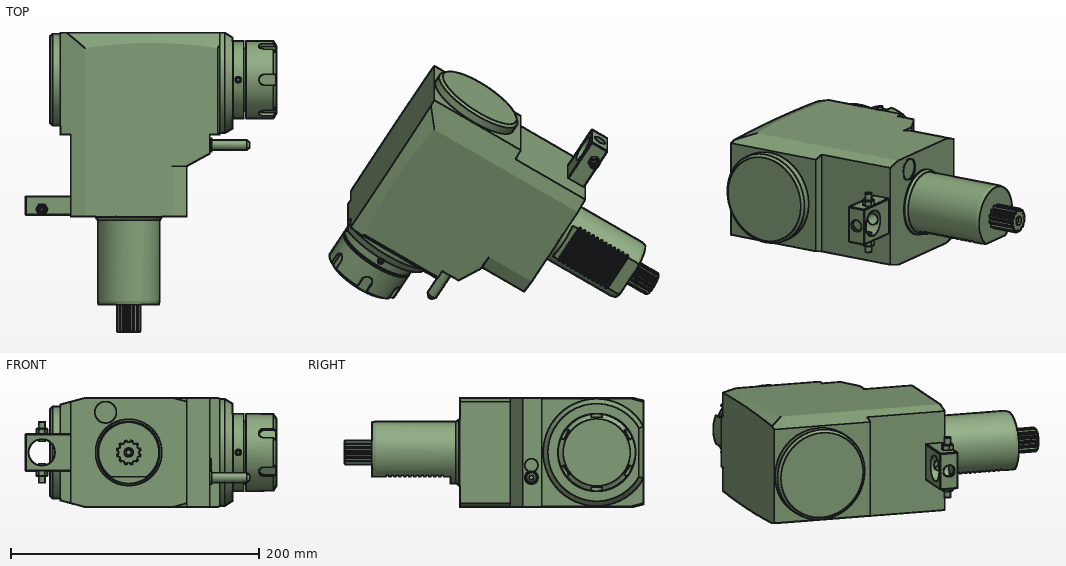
import cadquery as cq
import math

TILT = math.tan(math.radians(15))

HOUSING_HEIGHT = 88.0
HALF_HEIGHT = HOUSING_HEIGHT / 2
HOUSING_BACK = 148.0
HEAD_FRONT = 66.0
HEAD_LEFT = -55.0
HEAD_RIGHT = 73.3
STEM_HALF_WIDTH = 46.8
FACET_START = 35.2
STEM_TOP = 40.5
SHOULDER_X = 65.3
SHOULDER_Y = 50.5
EDGE_BEVEL_LENGTH = 1.7
EDGE_BEVEL_DROP = 0.6
CROWN_X = 18.0
CROWN_Y = 139.8
CROWN_RADIUS = 344.6

SPINDLE_Y = 110.1
FLANGE_RADIUS = 43.1
FLANGE_STRAIGHT_END = 77.4
FLANGE_END = 83.6
FLANGE_BEVEL = 3.9
NUT_RADIUS = 31.3
COLLAR_END = 92.8
GROOVE_RADIUS = 25.5
NUT_START = 94.2
NUT_BEVEL_START = 116.5
NUT_END = 119.0
NUT_BEVEL = 4.3
NUT_EDGE_BREAK = 0.5
NUT_SLOTS = 6
NUT_SLOT_WIDTH = 8.7
NUT_SLOT_DEPTH = 3.1
NUT_SLOT_START = 104.8
SCREW_HOLES = 4
SCREW_HOLE_RADIUS = 2.5
SCREW_HOLE_DEPTH = 1.0
SCREW_SOCKET_RADIUS = 1.5
SCREW_SOCKET_DEPTH = 2.5

COVER_RADIUS = 37.0
COVER_LEFT = -63.5
COVER_BEVEL = 2.2

SHANK_RADIUS = 25.0
SHANK_END = -70.9
SHANK_BEVEL_LENGTH = 3.0
SHANK_BEVEL = 0.7
SEAT_RADIUS = 26.8
SEAT_RIM = 0.7
SEAT_NECK_RADIUS = 25.5
SEAT_NECK = 2.2
SEAT_LENGTH = 3.1
FLAT_Z = -19.8
FLAT_START = -7.7
RACK_GROOVES = 12
RACK_LENGTH = 44.0
RACK_PITCH = RACK_LENGTH / (RACK_GROOVES - 1)
RACK_FIRST_Y = -14.2
RACK_GROOVE_WIDTH = 3.1
RACK_ROOT_WIDTH = 1.2
RACK_DEPTH = 1.2

OVERALL_LENGTH = 241.0
SPLINE_END = HOUSING_BACK - OVERALL_LENGTH
SPLINE_TEETH = 12
SPLINE_TIP_RADIUS = 10.0
SPLINE_ROOT_RADIUS = 8.2
SPLINE_END_BEVEL = 1.0
CENTRE_MOUTH_RADIUS = 3.5
CENTRE_RADIUS = 2.2
CENTRE_CONE_DEPTH = 1.5
CENTRE_DEPTH = 6.0

RECESS_X = -18.5
RECESS_Z = 32.3
RECESS_RADIUS = 8.7
RECESS_DEPTH = 1.0

BRACKET_LEFT = -83.1
BRACKET_FRONT = 1.2
BRACKET_BACK = 16.5
BRACKET_HALF_HEIGHT = 15.0
BRACKET_BEVEL = 0.6
BRACKET_BORE_X = -70.0
BRACKET_BORE_RADIUS = 10.5
CROSS_HOLE_Y = 8.7
CROSS_HOLE_RADIUS = 4.8
PILOT_RADIUS = 0.7
PILOT_DEPTH = 1.2
STUD_Y = 5.8
STUD_RADIUS = 2.7
STUD_INNER_Z = 9.0
STUD_OUTER_Z = 24.5
STUD_SOCKET_CORNERS = 3.0
STUD_SOCKET_DEPTH = 2.0
STUD_NUT_CORNERS = 9.5
STUD_NUT_TOP = 19.3
STUD_NUT_BEVEL = 1.0

PIN_Y = 57.5
PIN_Z = -20.2
PIN_RADIUS = 4.0
PIN_END = 97.5
PIN_BEVEL_LENGTH = 2.7
PIN_BEVEL = 2.2
PAD_RADIUS = 5.3
PAD_THICKNESS = 1.5
PAD_SPACING = 10.0
UPPER_PAD_THICKNESS = 1.0

OVERLAP = 2.5


def turned_x(points, y, z=0.0):
    """Solid of revolution about an X-parallel axis from (x, radius) points."""
    outline = [(points[0][0], 0), *points, (points[-1][0], 0)]
    profile = cq.Workplane("XY").polyline(outline).close()
    return profile.revolve(360, (0, 0, 0), (1, 0, 0)).translate((0, y, z))


def turned_y(points):
    """Solid of revolution about the shank axis from (radius, y) points."""
    outline = [(0, points[0][1]), *points, (0, points[-1][1])]
    return cq.Workplane("XY").polyline(outline).close().revolve(360, (0, 0, 0), (0, 1, 0))


def cylinder(radius, start, direction, length):
    return cq.Workplane(cq.Solid.makeCylinder(radius, length, cq.Vector(*start), cq.Vector(*direction)))


def block(x_range, y_range, z_range):
    corners = (x_range, y_range, z_range)
    sizes = [high - low for low, high in corners]
    lows = tuple(low for low, high in corners)
    return cq.Workplane("XY").box(*sizes, centered=False).translate(lows)


def housing():
    plan = [
        (-STEM_HALF_WIDTH, 0),
        (STEM_HALF_WIDTH, 0),
        (STEM_HALF_WIDTH, STEM_TOP),
        (SHOULDER_X, SHOULDER_Y),
        (SHOULDER_X, HEAD_FRONT),
        (HEAD_RIGHT, HEAD_FRONT),
        (HEAD_RIGHT, HOUSING_BACK),
        (HEAD_LEFT, HOUSING_BACK),
        (HEAD_LEFT, HEAD_FRONT),
        (-STEM_HALF_WIDTH, HEAD_FRONT),
    ]
    body = cq.Workplane("XY").polyline(plan).close().extrude(HALF_HEIGHT, both=True)

    left_z = HALF_HEIGHT - TILT * (-FACET_START - HEAD_LEFT)
    bevel_z = HALF_HEIGHT - EDGE_BEVEL_DROP
    upper = [
        (HEAD_LEFT, left_z),
        (-FACET_START, HALF_HEIGHT),
        (HEAD_RIGHT - EDGE_BEVEL_LENGTH, HALF_HEIGHT),
        (HEAD_RIGHT, bevel_z),
    ]
    lower = [(x, -z) for x, z in reversed(upper)]
    section = cq.Workplane("XZ").polyline(upper + lower).close().extrude(-HOUSING_BACK)
    body = body.intersect(section)

    waist_radius = CROWN_RADIUS + HALF_HEIGHT / TILT
    cone_outline = [
        (0, -HALF_HEIGHT),
        (CROWN_RADIUS, -HALF_HEIGHT),
        (waist_radius, 0),
        (CROWN_RADIUS, HALF_HEIGHT),
        (0, HALF_HEIGHT),
    ]
    crown = cq.Workplane("XZ").polyline(cone_outline).close().revolve(360, (0, 0, 0), (0, 1, 0))
    body = body.intersect(crown.translate((CROWN_X, CROWN_Y - CROWN_RADIUS, 0)))

    reach = STEM_HALF_WIDTH + OVERLAP
    drop = TILT * (reach - FACET_START)
    for side in (1, -1):
        wedge = [
            (FACET_START, side * HALF_HEIGHT),
            (reach, side * HALF_HEIGHT),
            (reach, side * (HALF_HEIGHT - drop)),
        ]
        body = body.cut(cq.Workplane("XZ").polyline(wedge).close().extrude(-STEM_TOP))

    pilot_start = (-STEM_HALF_WIDTH, CROSS_HOLE_Y, 0)
    body = body.cut(cylinder(PILOT_RADIUS, pilot_start, (1, 0, 0), PILOT_DEPTH))
    recess = cylinder(RECESS_RADIUS, (RECESS_X, 0, RECESS_Z), (0, 1, 0), RECESS_DEPTH)
    return body.cut(recess)


def flange():
    disc = turned_x(
        [
            (HEAD_RIGHT - OVERLAP, FLANGE_RADIUS - FLANGE_BEVEL),
            (HEAD_RIGHT, FLANGE_RADIUS - FLANGE_BEVEL),
            (HEAD_RIGHT, FLANGE_RADIUS),
            (FLANGE_STRAIGHT_END, FLANGE_RADIUS),
            (FLANGE_END, FLANGE_RADIUS - FLANGE_BEVEL),
        ],
        SPINDLE_Y,
    )
    front = SPINDLE_Y - FLANGE_RADIUS
    trim_outline = [
        (HEAD_RIGHT - OVERLAP, front),
        (FLANGE_END, front),
        (FLANGE_END, HOUSING_BACK - FLANGE_BEVEL),
        (FLANGE_STRAIGHT_END, HOUSING_BACK),
        (HEAD_RIGHT - OVERLAP, HOUSING_BACK),
    ]
    trim = cq.Workplane("XY").polyline(trim_outline).close().extrude(FLANGE_RADIUS, both=True)
    return disc.intersect(trim)


def clamping_nut():
    nut = turned_x(
        [
            (FLANGE_END - OVERLAP, NUT_RADIUS - NUT_EDGE_BREAK),
            (FLANGE_END, NUT_RADIUS - NUT_EDGE_BREAK),
            (FLANGE_END + NUT_EDGE_BREAK, NUT_RADIUS),
            (COLLAR_END, NUT_RADIUS),
            (COLLAR_END, GROOVE_RADIUS),
            (NUT_START, GROOVE_RADIUS),
            (NUT_START, NUT_RADIUS - NUT_EDGE_BREAK),
            (NUT_START + NUT_EDGE_BREAK, NUT_RADIUS),
            (NUT_BEVEL_START, NUT_RADIUS),
            (NUT_END, NUT_RADIUS - NUT_BEVEL),
        ],
        SPINDLE_Y,
    )
    axis_start = (0, SPINDLE_Y, 0)
    axis_end = (1, SPINDLE_Y, 0)

    slot_floor = NUT_RADIUS - NUT_SLOT_DEPTH
    slot_radius = NUT_SLOT_WIDTH / 2
    round_x = NUT_SLOT_START + slot_radius
    round_end = cylinder(slot_radius, (round_x, SPINDLE_Y, slot_floor), (0, 0, 1), NUT_RADIUS)
    channel = block(
        (round_x, NUT_END + OVERLAP),
        (SPINDLE_Y - slot_radius, SPINDLE_Y + slot_radius),
        (slot_floor, slot_floor + NUT_RADIUS),
    )
    slot = round_end.union(channel)
    for index in range(NUT_SLOTS):
        nut = nut.cut(slot.rotate(axis_start, axis_end, index * 360 / NUT_SLOTS))

    screw_x = (FLANGE_END + COLLAR_END) / 2
    mouth_z = NUT_RADIUS - SCREW_HOLE_DEPTH
    socket_z = NUT_RADIUS - SCREW_SOCKET_DEPTH
    mouth = cylinder(SCREW_HOLE_RADIUS, (screw_x, SPINDLE_Y, mouth_z), (0, 0, 1), OVERLAP)
    socket = cylinder(SCREW_SOCKET_RADIUS, (screw_x, SPINDLE_Y, socket_z), (0, 0, 1), OVERLAP)
    screw = mouth.union(socket)
    for index in range(SCREW_HOLES):
        nut = nut.cut(screw.rotate(axis_start, axis_end, index * 360 / SCREW_HOLES))
    return nut


def cover():
    return turned_x(
        [
            (COVER_LEFT, COVER_RADIUS - COVER_BEVEL),
            (COVER_LEFT + COVER_BEVEL, COVER_RADIUS),
            (HEAD_LEFT + OVERLAP, COVER_RADIUS),
        ],
        SPINDLE_Y,
    )


def shank():
    body = turned_y(
        [
            (SEAT_RADIUS, OVERLAP),
            (SEAT_RADIUS, -SEAT_RIM),
            (SEAT_NECK_RADIUS, -SEAT_NECK),
            (SHANK_RADIUS, -SEAT_LENGTH),
            (SHANK_RADIUS, SHANK_END + SHANK_BEVEL_LENGTH),
            (SHANK_RADIUS - SHANK_BEVEL, SHANK_END),
        ]
    )
    flat = block(
        (-SHANK_RADIUS, SHANK_RADIUS),
        (SHANK_END, FLAT_START),
        (-SHANK_RADIUS, FLAT_Z),
    )
    body = body.cut(flat)

    for index in range(RACK_GROOVES):
        y = RACK_FIRST_Y - index * RACK_PITCH
        groove_outline = [
            (y - RACK_GROOVE_WIDTH / 2, FLAT_Z),
            (y + RACK_GROOVE_WIDTH / 2, FLAT_Z),
            (y + RACK_ROOT_WIDTH / 2, FLAT_Z + RACK_DEPTH),
            (y - RACK_ROOT_WIDTH / 2, FLAT_Z + RACK_DEPTH),
        ]
        groove = cq.Workplane("YZ").polyline(groove_outline).close().extrude(SHANK_RADIUS, both=True)
        body = body.cut(groove)
    return body


def spline():
    pitch = 2 * math.pi / SPLINE_TEETH
    corners = (
        (0.15, SPLINE_ROOT_RADIUS),
        (0.35, SPLINE_TIP_RADIUS),
        (0.65, SPLINE_TIP_RADIUS),
        (0.85, SPLINE_ROOT_RADIUS),
    )
    points = []
    for tooth in range(SPLINE_TEETH):
        for fraction, radius in corners:
            angle = (tooth + fraction) * pitch
            points.append((radius * math.cos(angle), radius * math.sin(angle)))
    start = SHANK_END + OVERLAP
    teeth = cq.Workplane("XZ", origin=(0, start, 0)).polyline(points).close().extrude(start - SPLINE_END)
    envelope = turned_y(
        [
            (SPLINE_TIP_RADIUS, start),
            (SPLINE_TIP_RADIUS, SPLINE_END + SPLINE_END_BEVEL),
            (SPLINE_TIP_RADIUS - SPLINE_END_BEVEL, SPLINE_END),
        ]
    )
    centre_hole = turned_y(
        [
            (CENTRE_MOUTH_RADIUS, SPLINE_END),
            (CENTRE_RADIUS, SPLINE_END + CENTRE_CONE_DEPTH),
            (CENTRE_RADIUS, SPLINE_END + CENTRE_DEPTH),
        ]
    )
    return teeth.intersect(envelope).cut(centre_hole)


def clamping_stud():
    """Upper stud with its hexagon nut, on the Z axis."""
    stud = cylinder(STUD_RADIUS, (0, 0, STUD_INNER_Z), (0, 0, 1), STUD_OUTER_Z - STUD_INNER_Z)
    socket = cq.Workplane("XY", origin=(0, 0, STUD_OUTER_Z)).polygon(6, STUD_SOCKET_CORNERS)
    stud = stud.cut(socket.extrude(-STUD_SOCKET_DEPTH))

    nut_base = BRACKET_HALF_HEIGHT - BRACKET_BEVEL
    nut_radius = STUD_NUT_CORNERS / 2
    hexagon = cq.Workplane("XY", origin=(0, 0, nut_base)).polygon(6, STUD_NUT_CORNERS)
    nut = hexagon.extrude(STUD_NUT_TOP - nut_base)
    bevelled = cylinder(nut_radius, (0, 0, nut_base), (0, 0, 1), STUD_NUT_TOP - nut_base)
    bevelled = bevelled.faces(">Z").chamfer(STUD_NUT_BEVEL)
    return stud.union(nut.intersect(bevelled))


def bracket():
    right = -STEM_HALF_WIDTH + OVERLAP
    body = block(
        (BRACKET_LEFT, right),
        (BRACKET_FRONT, BRACKET_BACK),
        (-BRACKET_HALF_HEIGHT, BRACKET_HALF_HEIGHT),
    ).edges().chamfer(BRACKET_BEVEL)
    bore = cylinder(BRACKET_BORE_RADIUS, (BRACKET_BORE_X, 0, 0), (0, 1, 0), BRACKET_BACK + OVERLAP)
    cross_length = -STEM_HALF_WIDTH - BRACKET_LEFT
    cross_start = (BRACKET_LEFT, CROSS_HOLE_Y, 0)
    cross_hole = cylinder(CROSS_HOLE_RADIUS, cross_start, (1, 0, 0), cross_length)
    pilot = cylinder(PILOT_RADIUS, cross_start, (1, 0, 0), cross_length + PILOT_DEPTH)
    body = body.cut(bore).cut(cross_hole).cut(pilot)

    stud = clamping_stud().translate((BRACKET_BORE_X, STUD_Y, 0))
    return body.union(stud).union(stud.mirror("XY"))


def locating_pin():
    start = SHOULDER_X - OVERLAP
    pin = turned_x(
        [
            (start, PIN_RADIUS),
            (PIN_END - PIN_BEVEL_LENGTH, PIN_RADIUS),
            (PIN_END, PIN_RADIUS - PIN_BEVEL),
        ],
        PIN_Y,
        PIN_Z,
    )
    for z, thickness in ((PIN_Z, PAD_THICKNESS), (PIN_Z + PAD_SPACING, UPPER_PAD_THICKNESS)):
        pin = pin.union(cylinder(PAD_RADIUS, (start, PIN_Y, z), (1, 0, 0), OVERLAP + thickness))
    return pin


result = housing()
for piece in (flange(), clamping_nut(), cover(), shank(), spline(), bracket(), locating_pin()):
    result = result.union(piece)